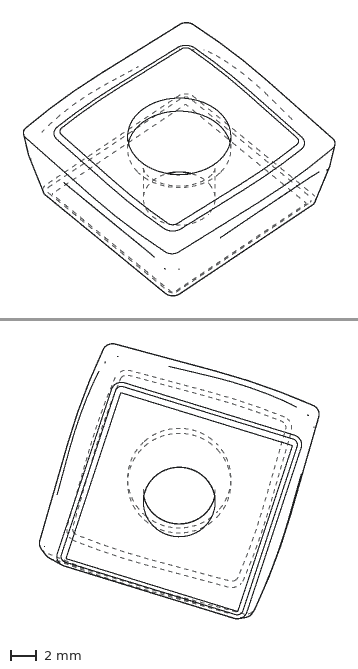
import cadquery as cq
import math


side_turns = (0, 90, 180, 270)

total_height = 7.2
boss_height = 0.22
rim_z = total_height - boss_height
waist_z = 4.55
relief_start_z = 4.73
plinth_height = 0.44

half_width = 9.1
nose_radius = 0.8
wiper_end = 0.33
crown_radius = 52.42
flank_draft = 7.0

lower_draft = 11.0
plinth_ledge = 0.33
plinth_taper = 0.4
relief_radius = 2.37
relief_sweep = 60.0

boss_inset = 1.75
boss_slope_run = 0.45
boss_corner_radius = 1.0

bore_radius = 2.78
seat_radius = 4.0
seat_top_depth = 1.51
seat_bottom_depth = 3.64


def rotated(point, degrees):
    """Rotate an (x, y) point about the origin."""
    angle = math.radians(degrees)
    x, y = point
    return (
        x * math.cos(angle) - y * math.sin(angle),
        x * math.sin(angle) + y * math.cos(angle),
    )


def toward(start, end, distance):
    """Point at a distance from start on the ray through end."""
    reach = math.dist(start, end)
    return tuple(a + (b - a) * distance / reach for a, b in zip(start, end))


def nose_centre(inset, radius):
    """Centre of the corner arc after the front side, for an outline moved inward."""
    crown_centre_y = crown_radius - half_width
    x = half_width - inset - radius
    fall = math.sqrt((crown_radius - inset - radius) ** 2 - (x - wiper_end) ** 2)
    return (x, crown_centre_y - fall)


def crowned_outline(z, inset, radius):
    """Four wiper-and-crown sides with tangent corner arcs."""
    half = half_width - inset
    crown_centre = (wiper_end, crown_radius - half_width)
    crown = crown_radius - inset
    nose = nose_centre(inset, radius)
    crown_end = toward(crown_centre, nose, crown)
    nose_end = (half, nose[1])
    wiper_start = rotated(nose_end, -90)

    crown_middle_aim = ((wiper_end + crown_end[0]) / 2, (crown_end[1] - half) / 2)
    crown_middle = toward(crown_centre, crown_middle_aim, crown)
    nose_middle_aim = ((crown_end[0] + nose_end[0]) / 2, (crown_end[1] + nose_end[1]) / 2)
    nose_middle = toward(nose, nose_middle_aim, radius)

    path = cq.Workplane("XY").workplane(offset=z).moveTo(*wiper_start)
    for turn in side_turns:
        path = path.lineTo(*rotated((wiper_end, -half), turn))
        path = path.threePointArc(rotated(crown_middle, turn), rotated(crown_end, turn))
        path = path.threePointArc(rotated(nose_middle, turn), rotated(nose_end, turn))
    return path.close().wire().val()


def rounded_square(z, half_flat, radius):
    """Rounded square, turned to follow the corners of the cutting outline."""
    apothem = half_flat + radius
    middle = half_flat + radius * math.sqrt(0.5)
    path = cq.Workplane("XY").workplane(offset=z).moveTo(*rotated((-half_flat, -apothem), lower_turn))
    for turn in side_turns:
        angle = lower_turn + turn
        path = path.lineTo(*rotated((half_flat, -apothem), angle))
        path = path.threePointArc(
            rotated((middle, -middle), angle), rotated((apothem, -half_flat), angle)
        )
    return path.close().wire().val()


def ruled_solid(bottom, top):
    """Solid with straight-ruled sides between two level outlines."""
    return cq.Workplane(obj=cq.Solid.makeLoft([bottom, top], True))


waist_inset = (rim_z - waist_z) * math.tan(math.radians(flank_draft))
waist_nose = nose_centre(waist_inset, nose_radius)
lower_turn = math.degrees(math.atan2(waist_nose[1], waist_nose[0])) + 45
waist_half_flat = math.hypot(*waist_nose) * math.sqrt(0.5)
lower_slope = math.tan(math.radians(lower_draft))
base_half_flat = waist_half_flat - (waist_z - plinth_height) * lower_slope


def cutting_rim():
    """Crowned flanks that lean inward from the cutting edge to the waist."""
    return ruled_solid(
        crowned_outline(waist_z, waist_inset, nose_radius),
        crowned_outline(rim_z, 0, nose_radius),
    )


def relief_cutter():
    """Bar outside one lower side: follows its draft, then curves outward under the rim."""
    def side_distance(z):
        return waist_half_flat + nose_radius + (z - waist_z) * lower_slope

    bar_bottom_z = plinth_height
    bar_outer = 2 * half_width
    tilt = math.radians(lower_draft)
    start = side_distance(relief_start_z)
    centre = (start + relief_radius * math.cos(tilt), relief_start_z - relief_radius * math.sin(tilt))

    def arc_point(sweep_degrees):
        angle = math.pi - tilt - math.radians(sweep_degrees)
        return (
            centre[0] + relief_radius * math.cos(angle),
            centre[1] + relief_radius * math.sin(angle),
        )

    arc_end = arc_point(relief_sweep)
    return (
        cq.Workplane("XZ")
        .moveTo(side_distance(bar_bottom_z), bar_bottom_z)
        .lineTo(start, relief_start_z)
        .threePointArc(arc_point(relief_sweep / 2), arc_end)
        .lineTo(bar_outer, arc_end[1])
        .lineTo(bar_outer, bar_bottom_z)
        .close()
        .extrude(bar_outer, both=True)
    )


def lower_body():
    """Tapered rounded square below the cutting flanks."""
    return ruled_solid(
        rounded_square(plinth_height, base_half_flat, nose_radius),
        rounded_square(waist_z, waist_half_flat, nose_radius),
    )


def plinth():
    """Foot set in by a ledge and tapered down to the underside."""
    top_radius = nose_radius - plinth_ledge
    return ruled_solid(
        rounded_square(0, base_half_flat, top_radius - plinth_taper),
        rounded_square(plinth_height, base_half_flat, top_radius),
    )


def boss():
    """Low raised field with sloped edges, following the cutting outline."""
    return ruled_solid(
        crowned_outline(rim_z, boss_inset, boss_corner_radius),
        crowned_outline(total_height, boss_inset + boss_slope_run, boss_corner_radius - boss_slope_run),
    )


def screw_hole():
    """Counterbore, then a convex seat that runs tangent into the through bore."""
    seat_top = total_height - seat_top_depth
    seat_bottom = total_height - seat_bottom_depth
    return (
        cq.Workplane("XZ")
        .moveTo(0, 0)
        .lineTo(bore_radius, 0)
        .lineTo(bore_radius, seat_bottom)
        .tangentArcPoint((seat_radius, seat_top), relative=False)
        .lineTo(seat_radius, total_height)
        .lineTo(0, total_height)
        .close()
        .revolve(360, (0, 0, 0), (0, 1, 0))
    )


rim = cutting_rim()
cutter = relief_cutter()
for turn in side_turns:
    rim = rim.cut(cutter.rotate((0, 0, 0), (0, 0, 1), lower_turn + turn))

result = plinth().union(lower_body()).union(rim).union(boss()).cut(screw_hole())